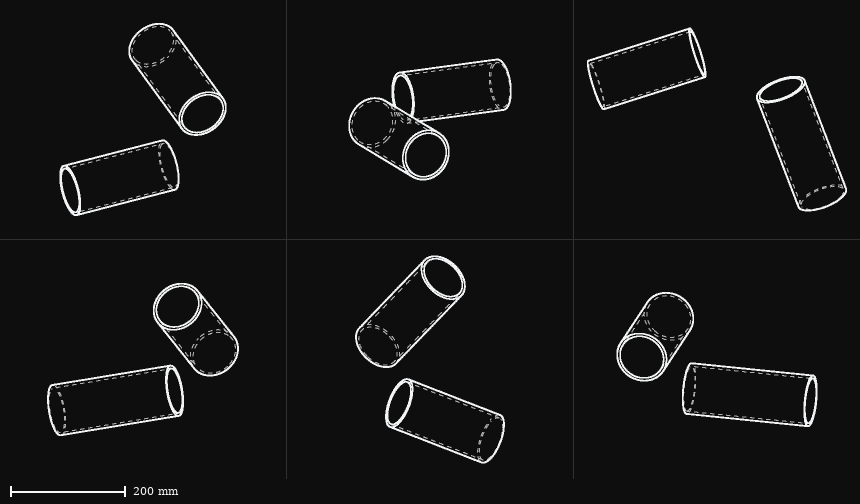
import cadquery as cq

overall_x = 377.5
overall_y = 345.5

outer_diameter = 89.0
wall = 5.3
outer_radius = outer_diameter / 2
inner_radius = outer_radius - wall

x_pipe_length = 218.5
y_pipe_length = 187.0


def pipe(start, direction, length):
    """Straight open-ended pipe running from start along direction."""
    plane = cq.Plane(origin=start, normal=direction)
    return cq.Workplane(plane).circle(outer_radius).circle(inner_radius).extrude(length)


x_pipe_start = (-overall_x / 2, overall_y / 2 - outer_radius, 0)
x_pipe = pipe(x_pipe_start, (1, 0, 0), x_pipe_length)

y_pipe_start = (overall_x / 2 - outer_radius, -overall_y / 2, 0)
y_pipe = pipe(y_pipe_start, (0, 1, 0), y_pipe_length)

result = cq.Compound.makeCompound([x_pipe.val(), y_pipe.val()])